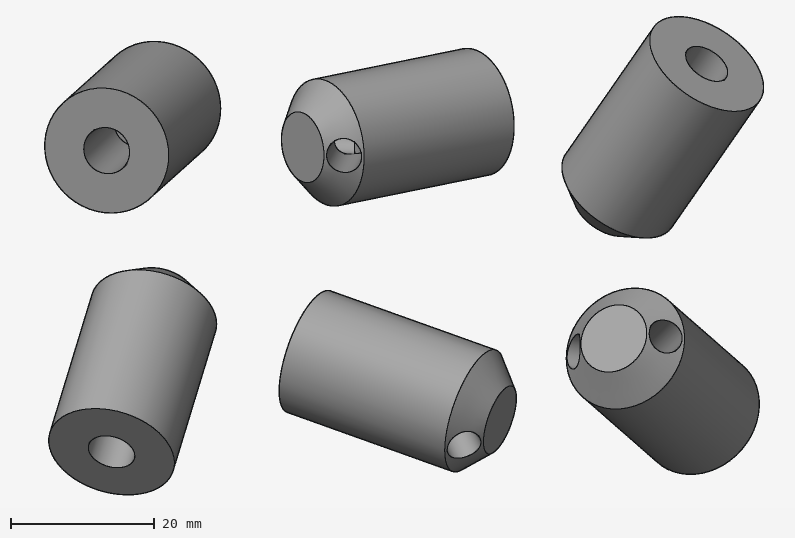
import cadquery as cq
import math

length = 30.0
diameter = 18.0
taper_length = 4.0
radius = diameter / 2
tip_radius = radius - taper_length
shoulder_y = length - taper_length

bore_diameter = 6.65
bore_depth = length / 2

cord_hole_diameter = 4.92
cord_mouth_x = (radius + tip_radius) / 2
cord_mouth_y = length - taper_length / 2
cord_meeting_y = cord_mouth_y - cord_mouth_x
cord_hole_length = 2 * radius * math.sqrt(2)


def make_body():
    half_profile = (
        cq.Workplane("XY")
        .polyline([(0, 0), (radius, 0), (radius, shoulder_y), (tip_radius, length), (0, length)])
        .close()
    )
    return half_profile.revolve(360, (0, 0, 0), (0, 1, 0))


def make_bore():
    return cq.Workplane(cq.Solid.makeCylinder(
        bore_diameter / 2, bore_depth, cq.Vector(0, 0, 0), cq.Vector(0, 1, 0)
    ))


def make_cord_hole(side):
    """Hole rising from the axis towards the taper; side is -1 or +1 along X."""
    return cq.Workplane(cq.Solid.makeCylinder(
        cord_hole_diameter / 2, cord_hole_length, cq.Vector(0, cord_meeting_y, 0), cq.Vector(side, 1, 0)
    ))


result = make_body().cut(make_bore())
for side in (-1, 1):
    result = result.cut(make_cord_hole(side))